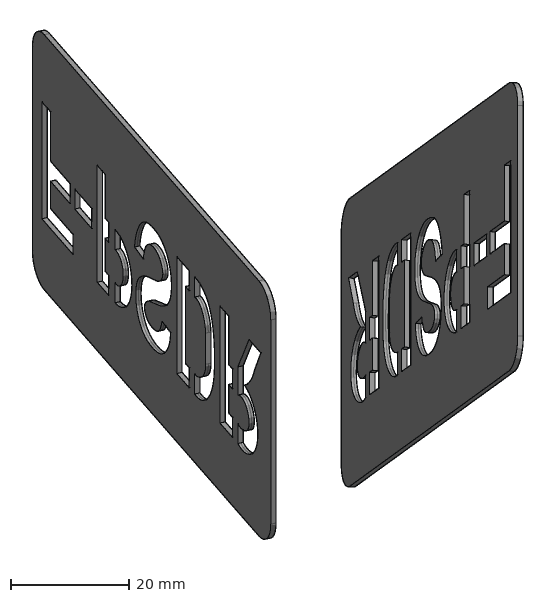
import cadquery as cq

LENGTH = 100.0
HEIGHT = 50.0
THICKNESS = 1.0
CORNER_RADIUS = 5.0

TOP = 11.3
BOTTOM = -11.6
STROKE = 3.9
FOOT_TOP = BOTTOM + STROKE
ARM_TOP = 1.6
ARM_BOTTOM = ARM_TOP - STROKE


def sketch():
    return cq.Workplane("XZ")


def cutter(outline):
    """Prism of a closed outline, reaching through both faces of the plate."""
    return outline.extrude(THICKNESS, both=True)


def straight_opening(points):
    return cutter(sketch().polyline(points).close())


def rectangle(left, right, bottom, top):
    return straight_opening([(left, bottom), (right, bottom), (right, top), (left, top)])


def stem(left, inner, outer, tabs):
    """Upright bar with short tabs on its +X side; tabs are (bottom, top) pairs."""
    bar = rectangle(left, inner, BOTTOM, TOP)
    for tab_bottom, tab_top in tabs:
        bar = bar.union(rectangle(left, outer, tab_bottom, tab_top))
    return bar


def two_arm_opening():
    left = -46.0
    inner = -42.4
    arm_end = -34.2
    foot_end = -33.0
    return stem(left, inner, arm_end, [(ARM_BOTTOM, ARM_TOP)]).union(
        rectangle(left, foot_end, BOTTOM, FOOT_TOP)
    )


def dash_opening():
    return rectangle(-32.2, -25.1, ARM_BOTTOM, ARM_TOP)


def short_bowl_opening():
    """C-shaped bowl beside the second stem."""
    left = -15.3
    outline = (
        sketch()
        .moveTo(left, BOTTOM)
        .spline([(-13.6, -11.4), (-10.2, -9.4), (-8.3, -4.7), (-10.0, 0.4), (-13.2, 2.5), (left, 2.7)],
                includeCurrent=True)
        .lineTo(left, -1.2)
        .spline([(-13.8, -1.4), (-12.4, -2.5), (-11.9, -4.5), (-12.6, -6.6), (left, FOOT_TOP)],
                includeCurrent=True)
        .close()
    )
    return cutter(outline)


def s_opening():
    """Ribbon of constant width bent into an S, with square ends."""
    upper_outer_end = (-7.1, 3.7)
    upper_to_lower = [
        (-6.0, 7.5), (-3.2, 10.7), (0.7, 11.6), (4.0, 11.1), (7.0, 8.7), (8.3, 4.8),
        (7.2, 0.5), (4.4, -1.7), (-0.1, -3.3), (-2.2, -4.4), (-3.0, -6.0), (-1.9, -7.6),
        (0.7, -8.1), (2.8, -7.5), (4.0, -5.8), (4.4, -4.7),
    ]
    lower_outer_end = (7.9, -5.0)
    lower_to_upper = [
        (6.8, -8.7), (4.0, -11.3), (0.5, -12.0), (-3.2, -11.3), (-5.8, -8.7), (-6.6, -5.2),
        (-5.8, -2.1), (-3.6, -0.1), (0.9, 1.6), (3.6, 2.8), (4.7, 4.6), (3.4, 7.1),
        (0.7, 7.9), (-1.9, 6.9), (-3.0, 5.2), (-3.4, 3.3),
    ]
    outline = (
        sketch()
        .moveTo(*upper_outer_end)
        .spline(upper_to_lower, includeCurrent=True)
        .lineTo(*lower_outer_end)
        .spline(lower_to_upper, includeCurrent=True)
        .close()
    )
    return cutter(outline)


def tall_bowl_opening():
    """Full-height bowl beside the third stem."""
    left = 18.1
    inner_right = 22.7
    outline = (
        sketch()
        .moveTo(left, BOTTOM)
        .spline([(20.9, -11.3), (24.7, -8.0), (26.4, -0.1), (25.6, 5.8), (23.9, 9.1), (20.6, 11.1), (left, TOP)],
                includeCurrent=True)
        .lineTo(left, 7.4)
        .spline([(20.4, 7.0), (22.1, 5.0), (inner_right, 2.8)], includeCurrent=True)
        .lineTo(inner_right, -3.3)
        .spline([(21.9, -5.8), (20.2, -7.2), (left, FOOT_TOP)], includeCurrent=True)
        .close()
    )
    return cutter(outline)


def leg_and_bowl_opening():
    """Slanted leg rising from a bowl, beside the last stem."""
    left = 36.2
    leg_left = 40.9
    leg_right = 45.8
    crotch = (38.9, 1.3)
    outline = (
        sketch()
        .moveTo(left, 3.4)
        .lineTo(leg_left, TOP)
        .lineTo(leg_right, TOP)
        .lineTo(43.1, 6.4)
        .spline([(40.7, 2.7), crotch], includeCurrent=True)
        .spline([(40.9, 0.7), (43.5, -1.7), (44.5, -5.0), (43.5, -8.9), (40.9, -11.2), (left, BOTTOM)],
                includeCurrent=True)
        .lineTo(left, FOOT_TOP)
        .spline([(39.0, -7.6), (40.4, -6.6), (40.9, -5.0), (39.8, -2.6), (left, -2.1)],
                includeCurrent=True)
        .close()
    )
    return cutter(outline)


plate = cq.Workplane("XY").box(LENGTH, THICKNESS, HEIGHT).edges("|Y").fillet(CORNER_RADIUS)

foot_tab = (BOTTOM, FOOT_TOP)
openings = [
    two_arm_opening(),
    dash_opening(),
    stem(-22.8, -19.5, -18.0, [(-1.2, 2.7), foot_tab]),
    short_bowl_opening(),
    s_opening(),
    stem(10.6, 14.2, 15.8, [foot_tab, (TOP - STROKE, TOP)]),
    tall_bowl_opening(),
    stem(28.7, 32.3, 33.9, [(-2.1, 1.8), foot_tab]),
    leg_and_bowl_opening(),
]

result = plate
for opening in openings:
    result = result.cut(opening)